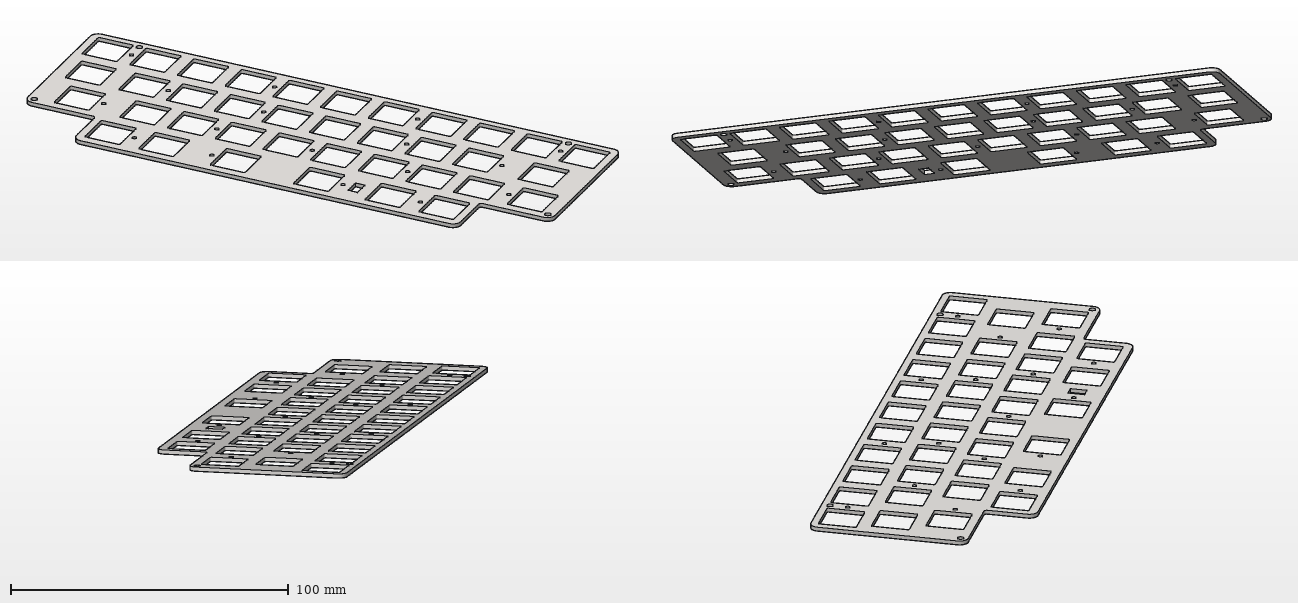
import cadquery as cq

length = 210.7
width = 77.3
thickness = 1.58
back_margin = 2.7
outer_corner_radius = 3.2
inner_corner_radius = 1.0

back_row_span = 190.5
key_web = 5.0
key_corner_radius = 0.5
small_hole_diameter = 1.6
large_hole_diameter = 2.3
corner_hole_inset = 2.7
back_hole_inset = 3.2
slot_length = 6.1
slot_width = 3.8
slot_x = 31.5

key_columns = [
    [-5, -4, -3, -2, -1, 0, 1, 2, 3, 4, 5],
    [-4.875, -3.75, -2.75, -1.75, -0.75, 0.25, 1.25, 2.25, 3.25, 4.625],
    [-4.625, -3.25, -2.25, -1.25, -0.25, 0.75, 1.75, 2.75, 3.75, 4.875],
    [-3.5, -2.375, -0.875, 0.875, 2.375, 3.5],
]

small_hole_columns = [
    [-4.5, -1.5, 1.5, 4.5],
    [-3.25, -1.25, 1.75, 3.75],
    [-4.125, -1.75, 0.25, 2.25, 4.375],
    [-3, -1.375, 1.375, 3],
]
back_hole_column = 4.5

back_row_gaps = len(key_columns[0]) - 1
key_pitch = back_row_span / back_row_gaps
key_opening = key_pitch - key_web
side_margin = (length - back_row_span - key_opening) / 2
back_row_y = width / 2 - back_margin - key_opening / 2


def row_y(row):
    """Y of a row's centre line; row 0 is the back row."""
    return back_row_y - row * key_pitch


front_row = len(key_columns) - 1
shoulder_y = -width / 2 + key_pitch
tongue_half_length = key_columns[front_row][-1] * key_pitch + key_opening / 2 + side_margin


def grid_points(columns_by_row):
    """Plate coordinates of the given columns in every row."""
    return [
        (column * key_pitch, row_y(row))
        for row, columns in enumerate(columns_by_row)
        for column in columns
    ]


def rounded_slab(half_length, front_y, back_y):
    """Slab centred on X = 0 with rounded vertical corners."""
    slab = cq.Workplane("XY").center(0, (front_y + back_y) / 2)
    slab = slab.rect(2 * half_length, back_y - front_y).extrude(thickness)
    return slab.edges("|Z").fillet(outer_corner_radius)


def plate():
    main_slab = rounded_slab(length / 2, shoulder_y, width / 2)
    tongue = rounded_slab(tongue_half_length, -width / 2, row_y(0))
    joined = main_slab.union(tongue)
    mid_height = thickness / 2
    for x in (-tongue_half_length, tongue_half_length):
        inner_corner = cq.selectors.NearestToPointSelector((x, shoulder_y, mid_height))
        joined = joined.edges("|Z").edges(inner_corner).fillet(inner_corner_radius)
    return joined


def key_openings():
    centres = cq.Workplane("XY").pushPoints(grid_points(key_columns))
    openings = centres.rect(key_opening, key_opening).extrude(thickness)
    return openings.edges("|Z").fillet(key_corner_radius)


def round_holes(points, diameter):
    return cq.Workplane("XY").pushPoints(points).circle(diameter / 2).extrude(thickness)


def small_holes():
    return round_holes(grid_points(small_hole_columns), small_hole_diameter)


def large_holes():
    """Two holes by the back edge and two in the front corners of the full-length part."""
    points = []
    for side in (-1, 1):
        points.append((side * back_hole_column * key_pitch, width / 2 - back_hole_inset))
        points.append((side * (length / 2 - corner_hole_inset), shoulder_y + corner_hole_inset))
    return round_holes(points, large_hole_diameter)


def slot():
    centre = cq.Workplane("XY").center(slot_x, row_y(front_row))
    return centre.rect(slot_width, slot_length).extrude(thickness)


result = plate().cut(key_openings()).cut(small_holes()).cut(large_holes()).cut(slot())